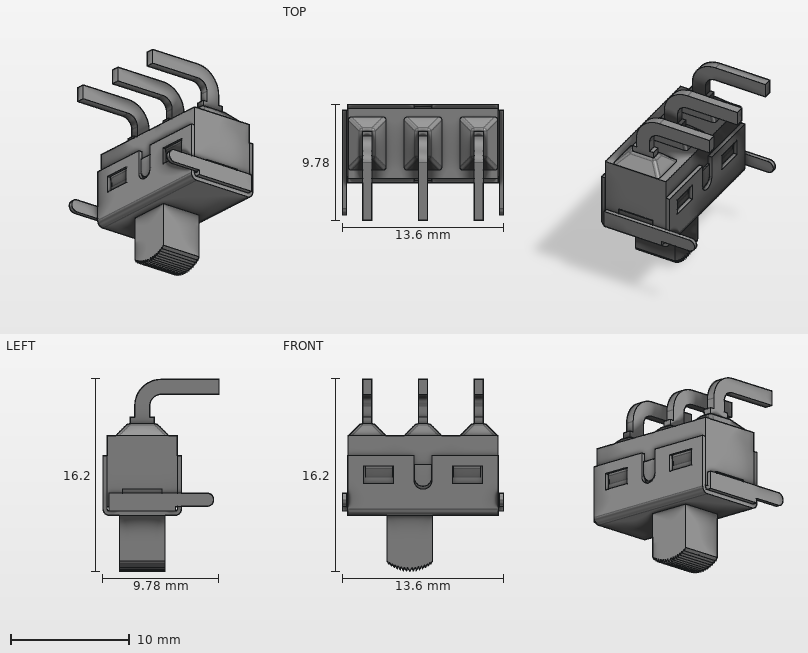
import cadquery as cq
import math


SHEET = 0.36

BODY_LENGTH = 12.66
BODY_WIDTH = 5.9
BODY_BOTTOM = 2 * SHEET
BODY_TOP = 6.72
END_RECESS_WIDTH = 3.3
END_RECESS_TOP = 2.23
END_RECESS_DEPTH = 0.1

FRAME_LENGTH = 12.68
FRAME_WIDTH = BODY_WIDTH + 2 * SHEET
FRAME_TOP = 5.04
FRAME_BEND_RADIUS = 0.56
SLOT_WIDTH = 1.53
SLOT_BOTTOM = 2.22
WINDOW_LENGTH = 2.53
WINDOW_BOTTOM = 2.71
WINDOW_TOP = 4.15
WINDOW_X = 3.75

PAD_WIDTH = 1.46
PAD_BOTTOM = 2.46
PAD_TOP = 4.3
PAD_HEIGHT = 0.16
CATCH_LENGTH = 2.28
CATCH_X = 3.72
CATCH_SLOPE_BOTTOM = 3.26
CATCH_SLOPE_TOP = 3.95
CATCH_HEIGHT = 0.16

LUG_SPAN = 13.57
PLATE_WIDTH = 5.62
LUG_TOP = 1.89
LUG_ARM_BOTTOM = 0.77
LUG_TIP_Y = -6.02

TERMINAL_PITCH = 4.7
TERMINAL_COUNT = 3
MOUND_LENGTH = 3.18
MOUND_WIDTH = 4.48
MOUND_HEIGHT = 1.01
MOUND_SLOPE = 45
MOUND_FILLET = 0.4
PIN_THICKNESS = 0.77
PIN_DEPTH = 1.28
PIN_BEND_RADIUS = 0.97
PIN_TOP = 11.48
PIN_TIP_Y = -6.47
SHOULDER_DEPTH = 2.05
SHOULDER_TOP = 8.29

SLIDER_LENGTH = 3.86
SLIDER_WIDTH = 3.86
SLIDER_X = -1.11
SLIDER_BOTTOM = -4.71
SLIDER_SIDE_BOTTOM = -3.84
TIP_ARC_RADIUS = 2.85
ROOT_ARC_RADIUS = 3.6
TOOTH_DEPTH = 0.31
TOOTH_ANGLE = 5.45
TEETH_PER_SIDE = 7
ROOT_LEAD = 0.25


def box(length, width, bottom, top, x=0.0):
    """Upright block centred on Y = 0, between two heights."""
    block = cq.Workplane("XY").box(length, width, top - bottom, centered=(True, True, False))
    return block.translate((x, 0, bottom))


def round_bottom_prism(width, bottom, top, depth):
    """U-shaped prism centred on Y = 0, with a half-round lower end."""
    radius = width / 2
    return (
        cq.Workplane("XZ")
        .moveTo(-radius, top)
        .lineTo(-radius, bottom + radius)
        .threePointArc((0, bottom), (radius, bottom + radius))
        .lineTo(radius, top)
        .close()
        .extrude(depth / 2, both=True)
    )


def make_catches():
    """Wedges on both long faces, one behind each frame window."""
    face = BODY_WIDTH / 2
    crest = face + CATCH_HEIGHT
    profile = [
        (-face, CATCH_SLOPE_BOTTOM),
        (face, CATCH_SLOPE_BOTTOM),
        (crest, CATCH_SLOPE_TOP),
        (crest, WINDOW_TOP),
        (-crest, WINDOW_TOP),
        (-crest, CATCH_SLOPE_TOP),
    ]
    wedge = cq.Workplane("YZ").polyline(profile).close().extrude(CATCH_LENGTH / 2, both=True)
    return wedge.translate((-CATCH_X, 0, 0)).union(wedge.translate((CATCH_X, 0, 0)))


def make_body():
    body = box(BODY_LENGTH, BODY_WIDTH, BODY_BOTTOM, BODY_TOP)
    for side in (-1, 1):
        recess = box(
            2 * END_RECESS_DEPTH, END_RECESS_WIDTH, BODY_BOTTOM, END_RECESS_TOP,
            x=side * BODY_LENGTH / 2,
        )
        body = body.cut(recess)
    pads = round_bottom_prism(PAD_WIDTH, PAD_BOTTOM, PAD_TOP, BODY_WIDTH + 2 * PAD_HEIGHT)
    return body.union(pads).union(make_catches())


def make_frame():
    """Sheet folded into a U, with a slot and two windows in each wall."""
    outer = box(FRAME_LENGTH, FRAME_WIDTH, 0, FRAME_TOP)
    outer = outer.edges("|X and <Z").fillet(FRAME_BEND_RADIUS)
    inner = box(FRAME_LENGTH, BODY_WIDTH, SHEET, FRAME_TOP)
    inner = inner.edges("|X and <Z").fillet(FRAME_BEND_RADIUS - SHEET)
    frame = outer.cut(inner)
    frame = frame.cut(round_bottom_prism(SLOT_WIDTH, SLOT_BOTTOM, FRAME_TOP, FRAME_WIDTH))
    for side in (-1, 1):
        window = box(WINDOW_LENGTH, FRAME_WIDTH, WINDOW_BOTTOM, WINDOW_TOP, x=side * WINDOW_X)
        frame = frame.cut(window)
    return frame


def make_lugs():
    """Plate on the frame floor, turned up at each end into a lug that reaches toward -Y."""
    plate_edge = PLATE_WIDTH / 2
    tip_radius = (LUG_TOP - LUG_ARM_BOTTOM) / 2
    tip_start = LUG_TIP_Y + tip_radius
    lug = (
        cq.Workplane("YZ")
        .moveTo(plate_edge, SHEET)
        .lineTo(plate_edge, LUG_TOP)
        .lineTo(tip_start, LUG_TOP)
        .threePointArc((LUG_TIP_Y, LUG_TOP - tip_radius), (tip_start, LUG_ARM_BOTTOM))
        .lineTo(-plate_edge, LUG_ARM_BOTTOM)
        .lineTo(-plate_edge, SHEET)
        .close()
        .extrude(SHEET)
    )
    plate = box(LUG_SPAN, PLATE_WIDTH, SHEET, BODY_BOTTOM)
    left = lug.translate((-LUG_SPAN / 2, 0, 0))
    right = lug.translate((LUG_SPAN / 2 - SHEET, 0, 0))
    return plate.union(left).union(right)


def make_mound():
    """Four-sided mound with rounded ridges and a rounded top edge."""
    mound = (
        cq.Workplane("XY")
        .workplane(offset=BODY_TOP)
        .rect(MOUND_LENGTH, MOUND_WIDTH)
        .extrude(MOUND_HEIGHT, taper=MOUND_SLOPE)
    )
    return mound.edges("not <Z").fillet(MOUND_FILLET)


def make_pin():
    """Terminal rising from its shoulder and bent over toward -Y."""
    half_depth = PIN_DEPTH / 2
    outer_radius = PIN_BEND_RADIUS + PIN_DEPTH
    bend_y = -half_depth - PIN_BEND_RADIUS
    bend_z = PIN_TOP - outer_radius
    diagonal = math.sqrt(0.5)
    mound_top = BODY_TOP + MOUND_HEIGHT
    pin = (
        cq.Workplane("YZ")
        .moveTo(half_depth, mound_top)
        .lineTo(half_depth, bend_z)
        .threePointArc(
            (bend_y + outer_radius * diagonal, bend_z + outer_radius * diagonal),
            (bend_y, PIN_TOP),
        )
        .lineTo(PIN_TIP_Y, PIN_TOP)
        .lineTo(PIN_TIP_Y, PIN_TOP - PIN_DEPTH)
        .lineTo(bend_y, PIN_TOP - PIN_DEPTH)
        .threePointArc(
            (bend_y + PIN_BEND_RADIUS * diagonal, bend_z + PIN_BEND_RADIUS * diagonal),
            (-half_depth, bend_z),
        )
        .lineTo(-half_depth, mound_top)
        .close()
        .extrude(PIN_THICKNESS / 2, both=True)
    )
    return pin.union(box(PIN_THICKNESS, SHOULDER_DEPTH, mound_top, SHOULDER_TOP))


def arc_rise(radius, x):
    """Height of a circular arc above its lowest point, at distance x from the middle."""
    return radius - math.sqrt(radius**2 - x**2)


def tooth_x(pitches):
    """Distance from the slider's middle after a number of tooth pitches."""
    return TIP_ARC_RADIUS * math.sin(math.radians(pitches * TOOTH_ANGLE))


def make_slider():
    """Block whose curved lower end carries teeth that lean toward the middle tooth."""
    right_half = []
    for tooth in range(1, TEETH_PER_SIDE + 1):
        root_x = tooth_x(tooth - ROOT_LEAD)
        tip_x = tooth_x(tooth)
        right_half.append((root_x, SLIDER_BOTTOM + TOOTH_DEPTH + arc_rise(ROOT_ARC_RADIUS, root_x)))
        right_half.append((tip_x, SLIDER_BOTTOM + arc_rise(TIP_ARC_RADIUS, tip_x)))
    right_half.append((SLIDER_LENGTH / 2, SLIDER_SIDE_BOTTOM))
    right_half.append((SLIDER_LENGTH / 2, BODY_BOTTOM))
    left_half = [(-x, z) for x, z in reversed(right_half)]
    outline = left_half + [(0, SLIDER_BOTTOM)] + right_half
    slider = cq.Workplane("XZ").polyline(outline).close().extrude(SLIDER_WIDTH / 2, both=True)
    return slider.translate((SLIDER_X, 0, 0))


result = make_body().union(make_frame()).union(make_lugs()).union(make_slider())
terminal = make_mound().union(make_pin())
for index in range(TERMINAL_COUNT):
    terminal_x = (index - (TERMINAL_COUNT - 1) / 2) * TERMINAL_PITCH
    result = result.union(terminal.translate((terminal_x, 0, 0)))